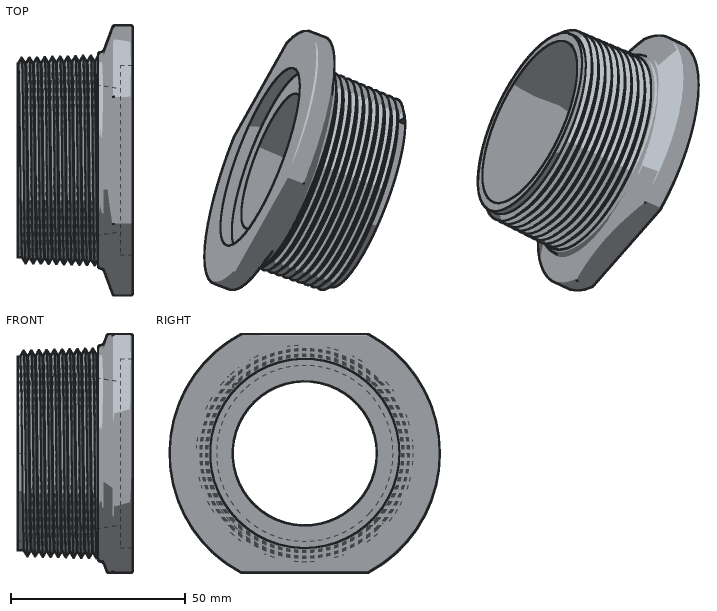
import cadquery as cq
import math

total_length = 33.05

flange_radius = 38.8
flat_height = 34.3
rim_start = 27.4
cone_start = 24.5
rim_fillet = 0.7

collar_radius = 31.1
collar_start = 23.05
collar_fillet = 0.85
corner_fillet = 0.9
edge_margin = 0.1

bore_entry_radius = 25.3
throat_radius = 20.6
throat_start = 29.0
recess_floor = 29.5
recess_radius = 27.15

thread_length = 22.5
thread_turns = 10.2
pitch = thread_length / thread_turns
taper = 1 / 32
core_radius = 55.6 / 2
tooth_height = 1.6
tooth_base = 1.95
root_overlap = 0.3
start_center = 1.2


def build_core():
    """Solid tapered pipe carrying the thread, reaching into the collar."""
    end_radius = core_radius + taper * cone_start
    outline = cq.Workplane("XY").polyline(
        [(0, 0), (0, core_radius), (cone_start, end_radius), (cone_start, 0)]
    ).close()
    return outline.revolve(360, (0, 0, 0), (1, 0, 0))


def build_flange():
    """Collar and conical flange turned in one piece, with two flats and rounded edges."""
    outline = cq.Workplane("XY").polyline(
        [
            (collar_start, 0),
            (collar_start, collar_radius),
            (cone_start, collar_radius),
            (rim_start, flange_radius),
            (total_length, flange_radius),
            (total_length, 0),
        ]
    ).close()
    disc = outline.revolve(360, (0, 0, 0), (1, 0, 0))
    slab = cq.Workplane("XY").box(
        2 * total_length, 2 * flange_radius, 2 * flat_height
    ).translate((total_length, 0, 0))
    flange = disc.intersect(slab)

    rim_edges = cq.selectors.BoxSelector(
        (cone_start + rim_fillet, -flange_radius, -flange_radius),
        (2 * total_length, flange_radius, flange_radius),
    )
    flange = flange.edges(rim_edges).fillet(rim_fillet)
    corner_edges = cq.selectors.BoxSelector(
        (cone_start - edge_margin, -flange_radius, -flange_radius),
        (cone_start + edge_margin, flange_radius, flange_radius),
    )
    flange = flange.edges(corner_edges).fillet(corner_fillet)
    return flange.faces("<X").edges().fillet(collar_fillet)


def build_thread():
    """Helical tooth starting on the +Y side of the pipe end."""
    half_base = tooth_base / 2 * (tooth_height + root_overlap) / tooth_height
    root = core_radius + taper * start_center - root_overlap
    crest = root + root_overlap + tooth_height
    taper_angle = math.degrees(math.atan(taper))
    helix = cq.Wire.makeHelix(pitch, thread_length, root, angle=taper_angle)
    tooth = cq.Workplane("XZ").polyline(
        [(root, -half_base), (crest, 0), (root, half_base)]
    ).close()
    thread = tooth.sweep(cq.Workplane(helix), isFrenet=True)
    thread = thread.rotate((0, 0, 0), (1, 1, 1), 120)
    return thread.translate((start_center, 0, 0))


def build_bore():
    """Tapered bore, straight throat and round recess, through the whole length."""
    outline = cq.Workplane("XY").polyline(
        [
            (0, 0),
            (0, bore_entry_radius),
            (throat_start, throat_radius),
            (recess_floor, throat_radius),
            (recess_floor, recess_radius),
            (total_length, recess_radius),
            (total_length, 0),
        ]
    ).close()
    return outline.revolve(360, (0, 0, 0), (1, 0, 0))


pipe = build_core().rotate((0, 0, 0), (1, 0, 0), 180)
threaded_pipe = pipe.union(build_thread())
result = threaded_pipe.union(build_flange()).cut(build_bore())